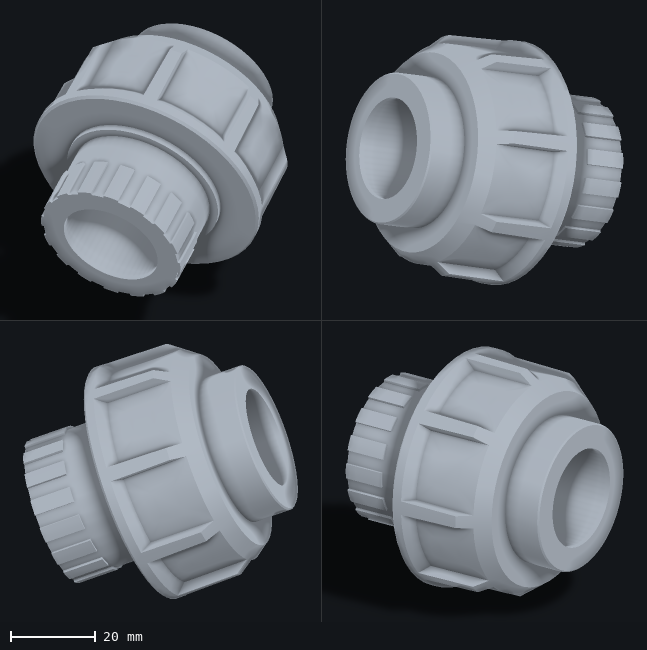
import cadquery as cq


NUT_RADIUS = 29.0
NUT_LENGTH = 25.1
RIM_CHAMFER = 0.6
SHOULDER_Y = 18.15
SHOULDER_RADIUS = 28.7
NUT_REAR_RADIUS = 23.8
LIP_Y = 21.7

RIB_COUNT = 8
POCKET_FRONT_Y = 2.7
FLOOR_FRONT_Y = 5.3
FLOOR_FRONT_RADIUS = 26.5
REAR_CONE_SLOPE = (SHOULDER_RADIUS - NUT_REAR_RADIUS) / (NUT_LENGTH - SHOULDER_Y)
FLOOR_REAR_Y = 21.55
FLOOR_REAR_RADIUS = NUT_REAR_RADIUS + REAR_CONE_SLOPE * (NUT_LENGTH - FLOOR_REAR_Y)
POCKET_OUTER_RADIUS = NUT_RADIUS + 2.9

RIB_INNER_RADIUS = 24.95
RIB_OUTER_RADIUS = 33.05
RIB_FRONT_ROOT_WIDTH = 4.25
RIB_FRONT_TIP_WIDTH = 2.95
RIB_REAR_ROOT_WIDTH = 3.5
RIB_REAR_TIP_WIDTH = 2.0

COLLAR_RADIUS = 19.4
COLLAR_FRONT_Y = -1.55
SPIGOT_RADIUS = 17.3
SPIGOT_END_Y = -20.45
SPIGOT_BORE_RADIUS = 11.5
TOOTH_COUNT = 16
TOOTH_RADIUS = 17.9
TOOTH_WIDTH = 3.7
TOOTH_LENGTH = 10.1

SLEEVE_RADIUS = 18.05
SLEEVE_END_Y = 34.55
SLEEVE_EDGE_CHAMFER = 0.35
SLEEVE_BORE_RADIUS = 10.7
FLANGE_THICKNESS = 6.6
JOINT_Y = LIP_Y - FLANGE_THICKNESS

SOCKET_RADIUS = 12.05
SOCKET_DEPTH = 16.25


def revolve_profile(points):
    """Turn a closed (radius, y) outline into a solid of revolution about Y."""
    return cq.Workplane("XY").polyline(points).close().revolve(360, (0, 0, 0), (0, 1, 0))


def cylinder(radius, start_y, length):
    """Solid cylinder along Y that runs from start_y toward +Y."""
    direction = cq.Vector(0, 1, 0)
    return cq.Workplane(cq.Solid.makeCylinder(radius, length, cq.Vector(0, start_y, 0), direction))


def rib_outline(root_width, tip_width, y):
    """Trapezoid across a rib that points along +X, at a given Y."""
    return cq.Wire.makePolygon(
        [
            cq.Vector(RIB_INNER_RADIUS, y, -root_width / 2),
            cq.Vector(RIB_OUTER_RADIUS, y, -tip_width / 2),
            cq.Vector(RIB_OUTER_RADIUS, y, tip_width / 2),
            cq.Vector(RIB_INNER_RADIUS, y, root_width / 2),
        ],
        close=True,
    )


def make_pockets():
    """Ring of pocket volume, divided by the ribs."""
    front_slope = (NUT_RADIUS - FLOOR_FRONT_RADIUS) / (FLOOR_FRONT_Y - POCKET_FRONT_Y)
    mouth_y = POCKET_FRONT_Y - (POCKET_OUTER_RADIUS - NUT_RADIUS) / front_slope
    pockets = revolve_profile(
        [
            (FLOOR_FRONT_RADIUS, FLOOR_FRONT_Y),
            (FLOOR_REAR_RADIUS, FLOOR_REAR_Y),
            (POCKET_OUTER_RADIUS, FLOOR_REAR_Y),
            (POCKET_OUTER_RADIUS, mouth_y),
        ]
    )
    front = rib_outline(RIB_FRONT_ROOT_WIDTH, RIB_FRONT_TIP_WIDTH, mouth_y)
    rear = rib_outline(RIB_REAR_ROOT_WIDTH, RIB_REAR_TIP_WIDTH, NUT_LENGTH)
    rib = cq.Workplane(cq.Solid.makeLoft([front, rear], True))
    for i in range(RIB_COUNT):
        pockets = pockets.cut(rib.rotate((0, 0, 0), (0, 1, 0), i * 360 / RIB_COUNT))
    return pockets


def make_nut():
    body = revolve_profile(
        [
            (COLLAR_RADIUS, 0),
            (NUT_RADIUS - RIM_CHAMFER, 0),
            (NUT_RADIUS, RIM_CHAMFER),
            (SHOULDER_RADIUS, SHOULDER_Y),
            (NUT_REAR_RADIUS, NUT_LENGTH),
            (SLEEVE_RADIUS, NUT_LENGTH),
            (SLEEVE_RADIUS, LIP_Y),
            (COLLAR_RADIUS, LIP_Y),
        ]
    )
    return body.cut(make_pockets())


def make_teeth():
    """Grip teeth around the free end of the spigot, rooted inside its wall."""
    teeth_blank = cylinder(TOOTH_RADIUS, SPIGOT_END_Y, TOOTH_LENGTH)
    root_radius = (SOCKET_RADIUS + SPIGOT_RADIUS) / 2
    bar = (
        cq.Workplane("XY")
        .box(TOOTH_RADIUS, TOOTH_LENGTH, TOOTH_WIDTH, centered=(False, False, True))
        .translate((root_radius, SPIGOT_END_Y, 0))
    )
    tooth = bar.intersect(teeth_blank)
    return [tooth.rotate((0, 0, 0), (0, 1, 0), i * 360 / TOOTH_COUNT) for i in range(TOOTH_COUNT)]


def make_spigot():
    step_y = SPIGOT_END_Y + SOCKET_DEPTH
    spigot = revolve_profile(
        [
            (SOCKET_RADIUS, SPIGOT_END_Y),
            (SPIGOT_RADIUS, SPIGOT_END_Y),
            (SPIGOT_RADIUS, COLLAR_FRONT_Y),
            (COLLAR_RADIUS, COLLAR_FRONT_Y),
            (COLLAR_RADIUS, JOINT_Y),
            (SPIGOT_BORE_RADIUS, JOINT_Y),
            (SPIGOT_BORE_RADIUS, step_y),
            (SOCKET_RADIUS, step_y),
        ]
    )
    for tooth in make_teeth():
        spigot = spigot.union(tooth)
    return spigot


def make_sleeve():
    step_y = SLEEVE_END_Y - SOCKET_DEPTH
    return revolve_profile(
        [
            (SLEEVE_BORE_RADIUS, JOINT_Y),
            (COLLAR_RADIUS, JOINT_Y),
            (COLLAR_RADIUS, LIP_Y),
            (SLEEVE_RADIUS, LIP_Y),
            (SLEEVE_RADIUS, SLEEVE_END_Y - SLEEVE_EDGE_CHAMFER),
            (SLEEVE_RADIUS - SLEEVE_EDGE_CHAMFER, SLEEVE_END_Y),
            (SOCKET_RADIUS, SLEEVE_END_Y),
            (SOCKET_RADIUS, step_y),
            (SLEEVE_BORE_RADIUS, step_y),
        ]
    )


nut = make_nut()
spigot = make_spigot()
sleeve = make_sleeve()

result = cq.Compound.makeCompound([nut.val(), spigot.val(), sleeve.val()])